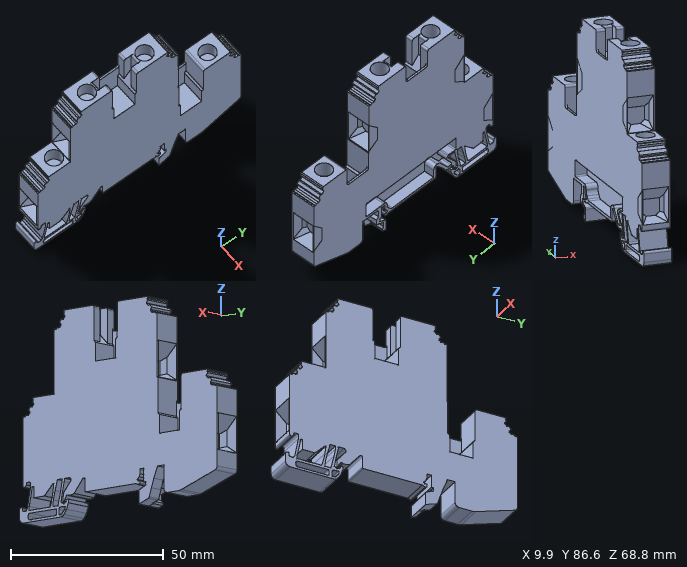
import cadquery as cq
import math

THICK = 9.9
LENGTH = 86.6
TOP_Z = 68.8
LEVEL_DROP = 27.5
LOW_Z = TOP_Z - LEVEL_DROP

LOW_FRONT_Y = 1.6
TOWER_FRONT_Y = 15.2
TOWER_BACK_Y = 60.4
TOWER_MID_Y = (TOWER_FRONT_Y + TOWER_BACK_Y) / 2
LOW_MID_Y = (LOW_FRONT_Y + LENGTH) / 2

SLOT_W = 10.1
SLOT_DEPTH = 7.5
SLOT_R = 0.8
SLOT_WALL = 0.8
LOW_SLOT_FRONT_Y = 60.6
LOW_SLOT_MID_Y = LOW_SLOT_FRONT_Y + SLOT_W / 2
POCKET_DEPTH = 11.3
POCKET_LEDGE_DEPTH = 4.3
POCKET_LEDGE = 0.7

SCREW_X = 5.3
SCREW_R = 3.1
SCREW_HOLE_DEPTH = 12.1
SCREW_TOP_DEPTH = 6.1
TOWER_SCREW_OFFSET = 12.0
LOW_SCREW_OFFSET = 32.1

NOTCH_X = 5.1
NOTCH_W = 3.6
NOTCH_LENGTH = 3.0

ENTRY_W = 9.0
ENTRY_TOP = 15.1
ENTRY_BOTTOM = 27.3
ENTRY_X = 4.8
ENTRY_INNER_W = 6.2
ENTRY_INNER_TOP = 20.4
ENTRY_INNER_BOTTOM = 26.3
ENTRY_CORNER_W = 1.5
ENTRY_CORNER_H = 1.2
ENTRY_CORNER_MOUTH = 0.1
ENTRY_WALL_DEPTH = 4.2
ENTRY_DEPTH = 5.7

RECESS_DEPTH = 4.2
WEB_X = 5.2
HOOK_RIM = 0.3

GRIP_STEPS = [
    (5.2, 0), (4.8, 0.4), (5.1, 0.8), (4.8, 1.3), (5.5, 2.25), (4.5, 3.1), (3.7, 2.9), (2.7, 3.9),
    (3.4, 4.6), (3.4, 5.0), (2.7, 5.6), (1.5, 5.55), (0.9, 6.1), (0.4, 5.8), (0, 6.1),
]


def rounded_sketch(points, x=0.0):
    """Closed YZ outline in the plane at x; a point (y, z, r) is a corner rounded with radius r."""
    ends = []
    for i, point in enumerate(points):
        corner = cq.Vector(point[0], point[1])
        if len(point) == 2:
            ends.append((corner, None, corner))
            continue
        before = points[i - 1]
        after = points[(i + 1) % len(points)]
        back = (cq.Vector(before[0], before[1]) - corner).normalized()
        ahead = (cq.Vector(after[0], after[1]) - corner).normalized()
        half = back.getAngle(ahead) / 2
        tangent = point[2] / math.tan(half)
        bisector = (back + ahead).normalized()
        middle = corner + bisector * (point[2] / math.sin(half) - point[2])
        ends.append((corner + back * tangent, middle, corner + ahead * tangent))
    sketch = cq.Workplane("YZ", origin=(x, 0, 0)).moveTo(ends[0][2].x, ends[0][2].y)
    for start, middle, end in ends[1:] + ends[:1]:
        sketch = sketch.lineTo(start.x, start.y)
        if middle is not None:
            sketch = sketch.threePointArc((middle.x, middle.y), (end.x, end.y))
    return sketch.close()


def plate(points, x_from=0.0, x_to=THICK):
    """Plate with a YZ outline, from x_from to x_to; by default as thick as the part."""
    return rounded_sketch(points, x_from).extrude(x_to - x_from)


def grip(outer_y, inward, top_z):
    """Grip steps from the level top down to the outer wall; inward is +1 or -1 along Y."""
    return [(outer_y + inward * step, top_z - depth) for step, depth in GRIP_STEPS]


def slot_outline(mid_y, top_z):
    """Marker slot, listed from its front edge to its back edge."""
    front = mid_y - SLOT_W / 2
    back = mid_y + SLOT_W / 2
    floor = top_z - SLOT_DEPTH
    return [(front, top_z, SLOT_R), (front, floor, SLOT_R), (back, floor, SLOT_R), (back, top_z, SLOT_R)]


def body_plate():
    """Stepped terminal body together with the rail seat, snap tine and front foot."""
    tower_front = grip(TOWER_FRONT_Y, 0.9, TOP_Z)
    tower_back = grip(TOWER_BACK_Y, -0.9, TOP_Z)
    low_front = grip(LOW_FRONT_Y, 0.9, LOW_Z)
    low_back = grip(LENGTH, -0.9, LOW_Z)
    low_slot = slot_outline(LOW_SLOT_MID_Y, LOW_Z)
    low_slot[0] = (LOW_SLOT_FRONT_Y, LOW_Z)
    upper = (
        low_front[::-1] + [(TOWER_FRONT_Y, LOW_Z)]
        + tower_front[::-1] + slot_outline(TOWER_MID_Y, TOP_Z) + tower_back
        + [(TOWER_BACK_Y, LOW_Z)] + low_slot + low_back
    )
    back_foot = [(LENGTH, 7.5, 1.3), (70.3, 2.3, 4.3), (63.3, 2.3, 1.6), (63.3, 11.7)]
    rail_seat = [
        (52.8, 11.7, 0.35), (52.8, 10.05), (52.5, 9.1), (51.6, 8.3), (52.1, 7.8), (52.8, 7.9, 0.2),
        (52.8, 6.8, 0.2), (52.15, 6.5), (51.0, 7.0), (28.7, 7.0, 0.4), (28.7, 12.65, 0.5), (24.0, 7.1),
    ]
    snap_tine = [
        (22.8, 6.75), (21.5, 6.75), (20.9, 7.2, 0.35), (19.6, 5.0), (19.1, 5.0), (19.3, 7.9, 0.4),
        (22.8, 11.8, 0.5), (22.0, 12.65, 0.5),
    ]
    front_foot = [
        (16.6, 12.65), (16.1, 11.6), (14.8, 11.6), (11.0, 7.9), (6.3, 7.9), (6.3, 11.6, 0.3),
        (4.85, 11.6), (4.85, 13.3, 0.6), (3.1, 13.3, 0.5), (3.1, 12.5),
        (2.5, 11.8, 0.4), (LOW_FRONT_Y, 11.8, 0.4),
    ]
    return plate(upper + back_foot + rail_seat + snap_tine + front_foot)


def rail_recess():
    """Recess in the -X face, bounded below by the rail seat band."""
    return plate([
        (19.2, 18.5), (61.8, 18.5, 0.4), (61.8, 12.8, 0.4), (51.8, 12.8, 1.65), (51.8, 10.05, 2.6),
        (50.0, 8.05, 1.3), (29.8, 8.05), (29.8, 12.9, 1.65), (27.1, 12.9, 1.6), (23.1, 8.0, 0.4),
        (20.8, 8.0, 0.4), (23.9, 11.95, 0.9), (22.9, 13.3, 0.5), (19.2, 13.3, 0.4),
    ], 0, RECESS_DEPTH)


def fixed_hook():
    """Hook over the full thickness, backed by a wedge-shaped web on the +X side."""
    rail_edge = [
        (52.3, 0), (52.3, 4.7, 0.5), (55.3, 6.0), (55.3, 7.1), (54.5, 7.1), (54.5, 11.95), (60.6, 11.95),
    ]
    hook = rail_edge + [
        (60.6, 11.7), (56.4, 11.7), (55.95, 11.0), (55.95, 8.7), (57.0, 7.8), (57.0, 5.6),
        (53.5, 4.3), (53.5, 2.4), (54.1, 1.5), (54.1, 0.7),
    ]
    web = rail_edge + [(58.9, 7.8), (57.9, 4.8), (56.8, 1.6, 0.7)]
    rim = rounded_sketch(hook, WEB_X - HOOK_RIM).offset2D(HOOK_RIM).extrude(HOOK_RIM)
    rim = rim.intersect(plate(web))
    return plate(hook).union(plate(web, WEB_X)).union(rim)


def release_latch():
    """Release bar with two windows, hung from the body on three slanting legs."""
    bar = plate([
        (21.5, 5.55), (20.4, 5.55), (20.4, 4.9), (19.3, 4.25), (18.3, 4.9), (17.85, 3.9), (2.8, 3.9),
        (1.3, 3.9, 0.7), (1.3, 5.4, 0.4), (0, 5.4, 0.8), (0, 0, 1.7), (19.05, 0, 1.7), (20.7, 2.25), (21.5, 4.3),
    ])
    long_window = plate([(16.2, 0.8, 0.4), (16.2, 2.95, 0.3), (3.9, 2.95, 0.8), (3.9, 0.8, 0.8)])
    short_window = plate([
        (20.2, 3.4, 0.35), (17.4, 3.4, 0.8), (17.4, 0.7, 0.35), (18.5, 0.95), (19.8, 2.3),
    ])
    leg_outlines = [
        [(19.8, 12.8), (19.7, 11.6), (18.8, 7.8), (18.3, 4.9), (18.3, 3.7), (16.9, 3.7), (18.1, 8.7),
         (18.6, 11.4), (18.6, 12.8)],
        [(16.7, 12.8), (15.7, 9.1), (14.9, 6.1), (14.7, 3.7), (13.25, 3.7), (13.8, 4.6), (14.7, 8.7),
         (15.1, 11.6), (15.1, 12.1)],
        [(5.7, 11.8), (5.0, 8.2), (4.3, 5.2), (4.3, 3.7), (2.8, 3.7), (3.5, 4.7),
         (4.85, 11.6), (4.85, 13.0), (5.2, 13.4), (5.7, 13.4)],
    ]
    latch = bar.cut(long_window).cut(short_window)
    for outline in leg_outlines:
        latch = latch.union(plate(outline))
    return latch


def slot_pocket(mid_y, top_z):
    """Pocket below a marker slot: open to the +X side and narrower below its ledges."""
    half = SLOT_W / 2
    narrow = half - POCKET_LEDGE
    floor = top_z - SLOT_DEPTH
    ledge = floor - POCKET_LEDGE_DEPTH
    bottom = floor - POCKET_DEPTH
    return plate([
        (mid_y - half, floor + SLOT_R), (mid_y - half, ledge), (mid_y - narrow, ledge - POCKET_LEDGE),
        (mid_y - narrow, bottom), (mid_y + narrow, bottom), (mid_y + narrow, ledge - POCKET_LEDGE),
        (mid_y + half, ledge), (mid_y + half, floor + SLOT_R),
    ], SLOT_WALL, THICK)


def screw_notch(side):
    """Notch from the marker slot to a tower screw hole; its 45 degree ramp continues the pocket ledge."""
    pocket_y = TOWER_MID_Y + side * (SLOT_W / 2 - POCKET_LEDGE)
    wall_y = TOWER_MID_Y + side * (SLOT_W / 2 + NOTCH_LENGTH)
    beyond_y = wall_y + side * 2 * SLOT_R
    ramp_bottom = TOP_Z - SLOT_DEPTH - POCKET_LEDGE_DEPTH - POCKET_LEDGE
    ramp_top = ramp_bottom + POCKET_LEDGE + NOTCH_LENGTH
    above = TOP_Z + SLOT_R
    return plate([
        (pocket_y, ramp_bottom), (wall_y, ramp_top), (wall_y, TOP_Z, SLOT_R),
        (beyond_y, TOP_Z), (beyond_y, above), (pocket_y, above),
    ], NOTCH_X - NOTCH_W / 2, NOTCH_X + NOTCH_W / 2)


def entry_section(y, left, right, top, bottom, left_cut, right_cut):
    """Six-sided wire: a rectangle with its two lower corners cut off at one fixed angle."""
    slope = ENTRY_CORNER_H / ENTRY_CORNER_W
    profile = [
        (left, top), (right, top), (right, bottom + right_cut * slope), (right - right_cut, bottom),
        (left + left_cut, bottom), (left, bottom + left_cut * slope),
    ]
    return cq.Wire.makePolygon([cq.Vector(x, y, z) for x, z in profile], close=True)


def wire_entry(outer_y, inward, top_z):
    """Blind funnel: roof and floor slope all the way, the side walls taper only near its end."""
    mouth_left = ENTRY_X - ENTRY_W / 2
    mouth_right = ENTRY_X + ENTRY_W / 2
    mouth_top = top_z - ENTRY_TOP
    mouth_bottom = top_z - ENTRY_BOTTOM
    end_left = SCREW_X - ENTRY_INNER_W / 2
    end_right = SCREW_X + ENTRY_INNER_W / 2
    end_top = top_z - ENTRY_INNER_TOP
    end_bottom = top_z - ENTRY_INNER_BOTTOM

    share = ENTRY_WALL_DEPTH / ENTRY_DEPTH
    bend_top = mouth_top + share * (end_top - mouth_top)
    bend_bottom = mouth_bottom + share * (end_bottom - mouth_bottom)
    cut_growth = ENTRY_CORNER_W - ENTRY_CORNER_MOUTH
    bend_left_cut = ENTRY_CORNER_MOUTH + share * (end_left - mouth_left + cut_growth)
    bend_right_cut = ENTRY_CORNER_MOUTH + share * (mouth_right - end_right + cut_growth)

    mouth = entry_section(outer_y, mouth_left, mouth_right, mouth_top, mouth_bottom,
                          ENTRY_CORNER_MOUTH, ENTRY_CORNER_MOUTH)
    bend = entry_section(outer_y + inward * ENTRY_WALL_DEPTH, mouth_left, mouth_right, bend_top, bend_bottom,
                         bend_left_cut, bend_right_cut)
    end = entry_section(outer_y + inward * ENTRY_DEPTH, end_left, end_right, end_top, end_bottom,
                        ENTRY_CORNER_W, ENTRY_CORNER_W)
    front_part = cq.Solid.makeLoft([mouth, bend], True)
    end_part = cq.Solid.makeLoft([bend, end], True)
    return cq.Workplane(front_part).union(cq.Workplane(end_part))


def screw_cylinder(y, top_z, top_depth):
    """Cylinder on a screw axis, from top_depth below the level top to the bottom of the hole."""
    bottom = cq.Vector(SCREW_X, y, top_z - SCREW_HOLE_DEPTH)
    return cq.Workplane(cq.Solid.makeCylinder(SCREW_R, SCREW_HOLE_DEPTH - top_depth, bottom))


SCREW_PLACES = [
    (TOWER_MID_Y - TOWER_SCREW_OFFSET, TOP_Z),
    (TOWER_MID_Y + TOWER_SCREW_OFFSET, TOP_Z),
    (LOW_MID_Y - LOW_SCREW_OFFSET, LOW_Z),
    (LOW_MID_Y + LOW_SCREW_OFFSET, LOW_Z),
]
ENTRY_PLACES = [
    (TOWER_FRONT_Y, 1, TOP_Z),
    (TOWER_BACK_Y, -1, TOP_Z),
    (LOW_FRONT_Y, 1, LOW_Z),
    (LENGTH, -1, LOW_Z),
]


def make_housing():
    housing = body_plate().union(fixed_hook()).union(release_latch()).cut(rail_recess())
    housing = housing.cut(slot_pocket(TOWER_MID_Y, TOP_Z)).cut(slot_pocket(LOW_SLOT_MID_Y, LOW_Z))
    for side in (-1, 1):
        housing = housing.cut(screw_notch(side))
    for outer_y, inward, top_z in ENTRY_PLACES:
        housing = housing.cut(wire_entry(outer_y, inward, top_z))
    for y, top_z in SCREW_PLACES:
        housing = housing.cut(screw_cylinder(y, top_z, 0))
    return housing


def make_screw(y, top_z):
    return screw_cylinder(y, top_z, SCREW_TOP_DEPTH)


housing = make_housing()
screws = [make_screw(y, top_z) for y, top_z in SCREW_PLACES]
result = cq.Compound.makeCompound([housing.val(), *[screw.val() for screw in screws]])